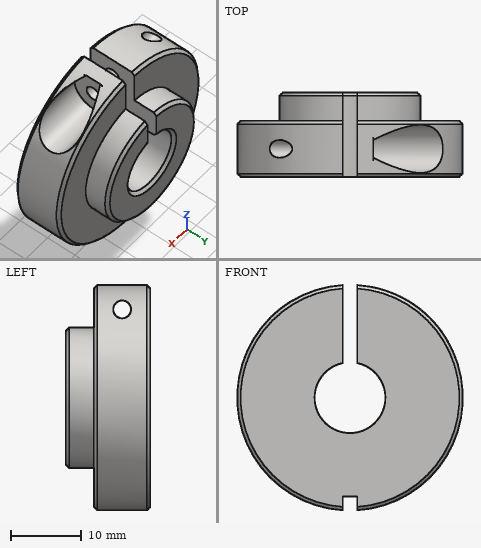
import cadquery as cq

collar_diameter = 32.0
collar_width = 8.0
hub_diameter = 20.0
hub_length = 4.0
bore_diameter = 10.0
edge_chamfer = 0.5

slot_width = 2.0
notch_floor_radius = 14.0

screw_height = 12.5
screw_hole_diameter = 2.5
screw_head_diameter = 6.8
screw_seat_x = 3.3

total_length = collar_width + hub_length
collar_radius = collar_diameter / 2
screw_y = collar_width / 2


def cylinder_along_y(diameter, start_y, length):
    """Solid cylinder on the bore axis, growing toward +Y."""
    plane = cq.Plane(origin=(0, start_y, 0), xDir=(1, 0, 0), normal=(0, 1, 0))
    return cq.Workplane(plane).circle(diameter / 2).extrude(length)


def cylinder_along_x(diameter, start_x, length):
    """Solid cylinder on the screw axis, growing toward +X."""
    plane = cq.Plane(origin=(start_x, screw_y, screw_height), xDir=(0, 1, 0), normal=(1, 0, 0))
    return cq.Workplane(plane).circle(diameter / 2).extrude(length)


def make_body():
    """Bored collar and hub: both collar rims and the hub's free end, inside and out, are chamfered."""
    collar = cylinder_along_y(collar_diameter, 0, collar_width).edges().chamfer(edge_chamfer)
    hub = cylinder_along_y(hub_diameter, collar_width, hub_length)
    bore = cylinder_along_y(bore_diameter, 0, total_length)
    body = collar.union(hub).cut(bore)
    return body.faces(">Y").edges().chamfer(edge_chamfer)


def make_slit(bottom_z, top_z):
    """Slot-wide block through the full length, between two heights."""
    height = top_z - bottom_z
    slit = cq.Workplane("XY").box(slot_width, total_length, height, centered=(True, False, False))
    return slit.translate((0, 0, bottom_z))


clamp_slot = make_slit(0, collar_radius)
relief_notch = make_slit(-collar_radius, -notch_floor_radius)
screw_hole = cylinder_along_x(screw_hole_diameter, -collar_radius, collar_diameter)
screw_head_pocket = cylinder_along_x(screw_head_diameter, screw_seat_x, collar_radius)

result = make_body()
for cutter in (clamp_slot, relief_notch, screw_hole, screw_head_pocket):
    result = result.cut(cutter)